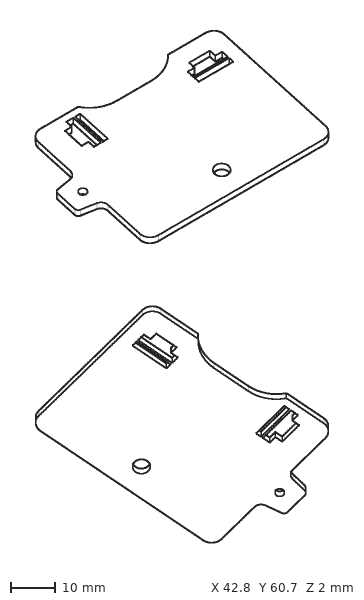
import cadquery as cq
import math

total_length = 60.7
plate_width = 42.8
thickness = 2.0
tab_length = 6.7
plate_length = total_length - tab_length
corner_radius = 3.0

notch_depth = 4.0
notch_floor_length = 10.1
notch_radius = 10.0

tab_tip_width = 7.9
tab_side_angle = 10.0
tab_root_radius = 2.0
tab_tip_radius = 1.0

main_hole_diameter = 4.0
main_hole_edge_distance = 7.0
tab_hole_diameter = 2.1
tab_hole_drop = 1.8

slot_length = 10.0
step_length = 6.0
step_depth = 2.0
wide_slot_depth = 2.0
bar_width = 0.55
thin_slot_depth = 1.45
lower_slot_side_margin = 2.0
lower_slot_base = 6.9
upper_slot_base = 5.0
upper_slot_top_margin = 3.75

plate_center_x = plate_width / 2
plate_center_y = plate_length / 2


def make_plate():
    return (
        cq.Workplane("XY")
        .rect(plate_width, plate_length)
        .extrude(thickness)
        .edges("|Z")
        .fillet(corner_radius)
        .translate((plate_center_x, plate_center_y, 0))
    )


def make_tab():
    half_tip = tab_tip_width / 2
    half_root = half_tip + tab_length * math.tan(math.radians(tab_side_angle))
    return (
        cq.Workplane("XY")
        .polyline([(-half_root, 0), (-half_tip, -tab_length), (half_tip, -tab_length), (half_root, 0)])
        .close()
        .extrude(thickness)
        .edges("|Z and <Y")
        .fillet(tab_tip_radius)
        .translate((plate_center_x, 0, 0))
    )


def round_tab_roots(body):
    root_zone = cq.selectors.BoxSelector(
        (corner_radius * 2, -tab_root_radius / 2, 0),
        (plate_width - corner_radius * 2, tab_root_radius / 2, thickness),
    )
    return body.edges("|Z").edges(root_zone).fillet(tab_root_radius)


def make_notch():
    half_floor = notch_floor_length / 2
    rise = math.sqrt(notch_radius**2 - (notch_radius - notch_depth) ** 2)
    half_mouth = half_floor + rise
    mid_angle = math.asin(rise / notch_radius) / 2
    mid_x = notch_depth - notch_radius * (1 - math.cos(mid_angle))
    mid_y = half_floor + notch_radius * math.sin(mid_angle)
    return (
        cq.Workplane("XY")
        .moveTo(0, -half_mouth)
        .threePointArc((mid_x, -mid_y), (notch_depth, -half_floor))
        .lineTo(notch_depth, half_floor)
        .threePointArc((mid_x, mid_y), (0, half_mouth))
        .close()
        .extrude(thickness)
        .translate((0, plate_center_y, 0))
    )


def make_strap_slots():
    wide_slot_start = step_depth
    thin_slot_start = wide_slot_start + wide_slot_depth + bar_width
    step = cq.Workplane("XY").box(step_length, step_depth, thickness, centered=(True, False, False))
    wide = cq.Workplane("XY").box(slot_length, wide_slot_depth, thickness, centered=(True, False, False))
    thin = cq.Workplane("XY").box(slot_length, thin_slot_depth, thickness, centered=(True, False, False))
    stepped = step.union(wide.translate((0, wide_slot_start, 0)))
    return stepped.union(thin.translate((0, thin_slot_start, 0)))


def make_hole(diameter, x, y):
    return cq.Workplane("XY").center(x, y).circle(diameter / 2).extrude(thickness)


lower_slots = make_strap_slots().translate((lower_slot_side_margin + slot_length / 2, lower_slot_base, 0))
upper_slots = (
    make_strap_slots()
    .rotate((0, 0, 0), (0, 0, 1), -90)
    .translate((upper_slot_base, plate_length - upper_slot_top_margin - slot_length / 2, 0))
)

result = round_tab_roots(make_plate().union(make_tab()))
result = result.cut(make_notch())
result = result.cut(lower_slots).cut(upper_slots)
result = result.cut(make_hole(main_hole_diameter, plate_width - main_hole_edge_distance, plate_center_y))
result = result.cut(make_hole(tab_hole_diameter, plate_center_x, -tab_hole_drop))